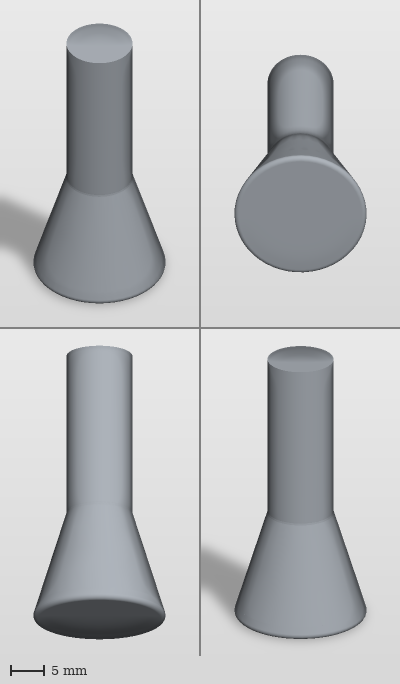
import cadquery as cq
import math

total_height = 42.0
max_diameter = 20.0
stem_radius = 5.0
cone_top_z = 16.93
neck_blend_radius = 1.0
foot_height = 1.97
foot_edge_radius = 0.67

arc_center_radius = max_diameter / 2 - foot_edge_radius
center_run = arc_center_radius - stem_radius
center_drop = cone_top_z - foot_edge_radius
half_angle = (
    math.atan2(center_run, center_drop)
    + math.asin(foot_edge_radius / math.hypot(center_run, center_drop))
)


def cone_radius(z):
    """Radius of the common cone flank at height z."""
    return stem_radius + (cone_top_z - z) * math.tan(half_angle)


def make_post():
    """Cylindrical stem on a flared cone, with a softened neck."""
    outline = [
        (0, foot_height),
        (cone_radius(foot_height), foot_height),
        (stem_radius, cone_top_z),
        (stem_radius, total_height),
        (0, total_height),
    ]
    sharp_post = cq.Workplane("XZ").polyline(outline).close().revolve(360, (0, 0), (0, 1))
    neck_edge = cq.selectors.NearestToPointSelector((0, 0, cone_top_z))
    return sharp_post.edges("%CIRCLE").edges(neck_edge).fillet(neck_blend_radius)


def make_foot():
    """Foot pad that continues the cone flank and has a rounded bottom edge."""
    outline = [
        (0, 0),
        (cone_radius(0), 0),
        (cone_radius(foot_height), foot_height),
        (0, foot_height),
    ]
    sharp_foot = cq.Workplane("XZ").polyline(outline).close().revolve(360, (0, 0), (0, 1))
    return sharp_foot.faces("<Z").edges().fillet(foot_edge_radius)


post = make_post()
foot = make_foot()

result = cq.Compound.makeCompound([post.val(), foot.val()])